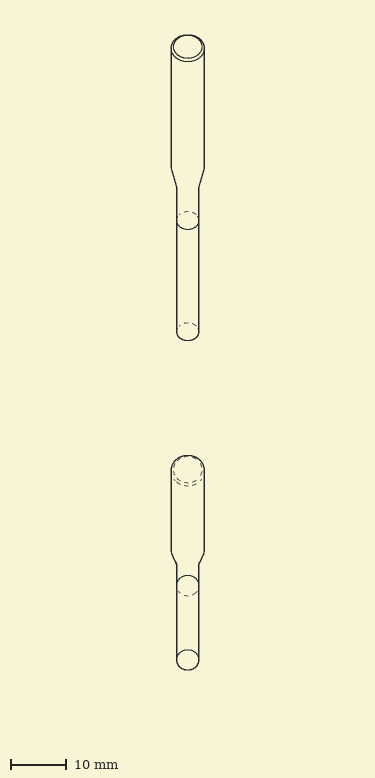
import cadquery as cq
import math

total_length = 87.0

grip_diameter = 6.0
grip_length = 36.0
grip_chamfer = 0.4
taper_length = 6.0

rod_diameter = 4.0
point_angle = 118.0
cutter_length = 34.7

grip_radius = grip_diameter / 2
rod_radius = rod_diameter / 2
point_height = rod_radius / math.tan(math.radians(point_angle / 2))
grip_bottom = total_length - grip_length
taper_bottom = grip_bottom - taper_length


def revolve_about_z(outline):
    """Turn a closed (radius, height) outline about the Z axis."""
    return cq.Workplane("XZ").polyline(outline).close().revolve(360, (0, 0), (0, 1))


def make_shank():
    """Chamfered grip that tapers to a neck as wide as the cutter."""
    return revolve_about_z([
        (0, cutter_length),
        (rod_radius, cutter_length),
        (rod_radius, taper_bottom),
        (grip_radius, grip_bottom),
        (grip_radius, total_length - grip_chamfer),
        (grip_radius - grip_chamfer, total_length),
        (0, total_length),
    ])


def make_cutter():
    """Round rod ending in a cone, butted against the neck."""
    return revolve_about_z([
        (0, 0),
        (rod_radius, point_height),
        (rod_radius, cutter_length),
        (0, cutter_length),
    ])


shank = make_shank()
cutter = make_cutter()

result = cq.Compound.makeCompound([shank.val(), cutter.val()])